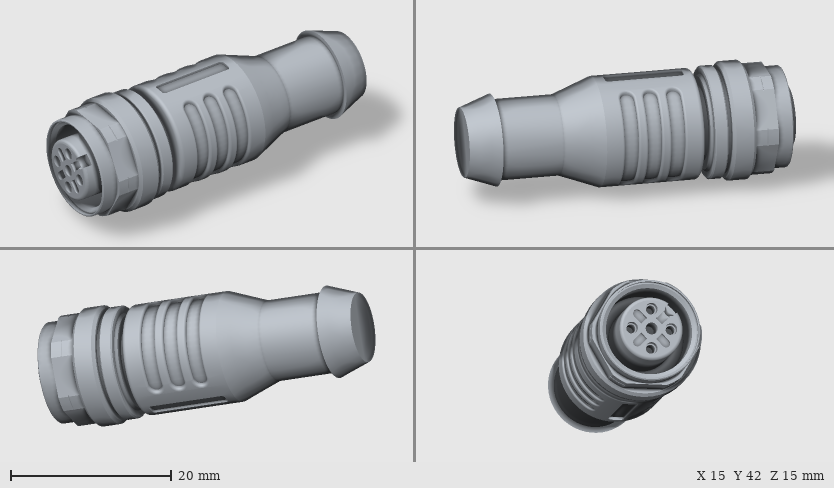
import cadquery as cq
import math

length = 42

tail_tip_dia = 8.8
barb_dia = 11.68
tube_dia = 10.2
barb_start = 38.0
tube_start = 30.05

grip_dia = 14.0
grip_start = 12.4
grip_end = 25.0
grip_round = 0.5

neck_dia = 9.4
neck_rim_dia = 9.6
neck_rim_start = 12.22
neck_start = 11.45
step_base_dia = 12.3
step_top_dia = 11.75
ring_dia = 14.25
ring_start = 9.4
ring_end = 11.1
ring_chamfer = 0.15
waist_dia = 13

flange_dia = 15.0
flange_start = 5.85
flange_end = 8.9
flange_chamfer = 0.38
hex_across_flats = 13
hex_corner_dia = 14.0
hex_start = 3.0
mark_y = 4.35
mark_dia = 13.85
mark_width = 0.13
sleeve_dia = 12.8
sleeve_start = 0.92
sleeve_chamfer = 0.13

bore_dia = 10.95
bore_floor = 7.55
mouth_dia = 12.3
mouth_depth = 0.5
lead_in_dia = 11.93
lead_in_depth = 0.35

insert_dia = 8.02
insert_round = 0.4
contact_hole_dia = 1.5
contact_dia = 1.15
contact_count = 4
contact_circle_dia = 5.0
contact_inset = 0.75
contact_depth = 2.5
slot_count = 4
slot_first_angle = 45
slot_width = 1.05
slot_inner = 1.35
slot_outer = 3.1
slot_depth = 0.4
key_width = 1.5
key_radius = 3.45
key_depth = 1.25
key_angle = 45

groove_count = 3
groove_first = 15.8
groove_pitch = 3.0
groove_width = 1.75
groove_floor_dia = 13
groove_inner_x = 3.1
groove_edge_round = 0.3
recess_width = 1.97
recess_length = 10.1
recess_middle = 18.75
recess_corner = 0.4
recess_floor_z = 6.6


def disc(dia, y_from, y_to):
    """Round disc on the plug axis between two heights along Y."""
    return cq.Workplane("XZ", origin=(0, y_from, 0)).circle(dia / 2).extrude(y_from - y_to)


def turned_body():
    """Half section of everything behind the nut's hexagon, turned about the axis."""
    profile = (
        cq.Workplane("ZY")
        .moveTo(0, flange_start)
        .lineTo(flange_dia / 2 - flange_chamfer, flange_start)
        .lineTo(flange_dia / 2, flange_start + flange_chamfer)
        .lineTo(flange_dia / 2, flange_end - flange_chamfer)
        .lineTo(flange_dia / 2 - flange_chamfer, flange_end)
        .lineTo(waist_dia / 2, flange_end)
        .lineTo(waist_dia / 2, ring_start)
        .lineTo(ring_dia / 2 - ring_chamfer, ring_start)
        .lineTo(ring_dia / 2, ring_start + ring_chamfer)
        .lineTo(ring_dia / 2, ring_end - ring_chamfer)
        .lineTo(ring_dia / 2 - ring_chamfer, ring_end)
        .lineTo(step_base_dia / 2, ring_end)
        .lineTo(step_top_dia / 2, neck_start)
        .lineTo(neck_dia / 2, neck_start)
        .lineTo(neck_dia / 2, neck_rim_start)
        .lineTo(neck_rim_dia / 2, neck_rim_start)
        .lineTo(neck_rim_dia / 2, grip_start)
        .lineTo(grip_dia / 2 - grip_round, grip_start)
        .radiusArc((grip_dia / 2, grip_start + grip_round), -grip_round)
        .lineTo(grip_dia / 2, grip_end)
        .lineTo(tube_dia / 2, tube_start)
        .lineTo(tube_dia / 2, barb_start)
        .lineTo(barb_dia / 2, barb_start)
        .lineTo(tail_tip_dia / 2, length)
        .lineTo(0, length)
        .close()
    )
    return profile.revolve(360, (0, 0, 0), (0, 1, 0))


def nut_front():
    """Hexagon with turned corners and a fine marking groove, and the sleeve in front of it."""
    hexagon = (
        cq.Workplane("XZ", origin=(0, hex_start, 0))
        .polygon(6, hex_across_flats / math.cos(math.pi / 6))
        .extrude(hex_start - flange_start)
    )
    hexagon = hexagon.intersect(disc(hex_corner_dia, hex_start, flange_start))
    mark_start = mark_y - mark_width / 2
    mark_end = mark_y + mark_width / 2
    mark = disc(flange_dia, mark_start, mark_end).cut(disc(mark_dia, mark_start, mark_end))
    sleeve = disc(sleeve_dia, sleeve_start, hex_start).faces("<Y").chamfer(sleeve_chamfer)
    return hexagon.cut(mark).union(sleeve)


def socket_cavity():
    """Annular space around the insert; its floor bulges forward as the seal ring."""
    seal_radius = (bore_dia - insert_dia) / 4
    seal_middle = (bore_dia + insert_dia) / 4
    mouth_end = sleeve_start + mouth_depth
    section = (
        cq.Workplane("XY")
        .moveTo(insert_dia / 2, 0)
        .lineTo(insert_dia / 2, bore_floor)
        .threePointArc((seal_middle, bore_floor - seal_radius), (bore_dia / 2, bore_floor))
        .lineTo(bore_dia / 2, mouth_end + lead_in_depth)
        .lineTo(lead_in_dia / 2, mouth_end)
        .lineTo(mouth_dia / 2, mouth_end)
        .lineTo(mouth_dia / 2, 0)
        .close()
    )
    return section.revolve(360, (0, 0, 0), (0, 1, 0))


def insert():
    """Round contact carrier standing in the socket, with a rounded front rim."""
    return disc(insert_dia, 0, flange_start).faces("<Y").edges().fillet(insert_round)


def contact_holes():
    """Five socket holes; the four outer ones hold contact tubes set back from the face."""
    front = cq.Workplane("XZ")
    holes = front.circle(contact_hole_dia / 2).extrude(-contact_depth)
    for i in range(contact_count):
        angle = 2 * math.pi * i / contact_count
        x = contact_circle_dia / 2 * math.cos(angle)
        z = contact_circle_dia / 2 * math.sin(angle)
        mouth = front.center(x, z).circle(contact_hole_dia / 2).extrude(-contact_inset)
        contact = front.center(x, z).circle(contact_dia / 2).extrude(-contact_depth)
        holes = holes.union(mouth).union(contact)
    return holes


def face_slots():
    """Four shallow diagonal slots, square at the inner end and round at the outer end."""
    outer_centre = slot_outer - slot_width / 2
    slot = (
        cq.Workplane("XZ")
        .moveTo(slot_inner, -slot_width / 2)
        .lineTo(outer_centre, -slot_width / 2)
        .threePointArc((slot_outer, 0), (outer_centre, slot_width / 2))
        .lineTo(slot_inner, slot_width / 2)
        .close()
        .extrude(-slot_depth)
    )
    slots = cq.Workplane("XZ")
    for i in range(slot_count):
        angle = slot_first_angle + 360 * i / slot_count
        slots = slots.union(slot.rotate((0, 0, 0), (0, 1, 0), angle))
    return slots


def keyway():
    """Round-bottomed coding notch in the rim of the insert, towards +X and +Z."""
    notch = (
        cq.Workplane("XZ")
        .moveTo(insert_dia, -key_width / 2)
        .lineTo(key_radius, -key_width / 2)
        .threePointArc((key_radius - key_width / 2, 0), (key_radius, key_width / 2))
        .lineTo(insert_dia, key_width / 2)
        .close()
        .extrude(-key_depth)
    )
    within_insert = disc(insert_dia, 0, key_depth)
    return notch.rotate((0, 0, 0), (0, 1, 0), -key_angle).intersect(within_insert)


def grip_grooves():
    """Finger grooves on both sides, with ends rounded in plan and a cylindrical floor."""
    half_width = groove_width / 2
    end_centre = groove_inner_x + half_width
    plan = cq.Workplane("XY", origin=(0, 0, -grip_dia))
    for side in (-1, 1):
        for i in range(groove_count):
            y = groove_first + i * groove_pitch
            plan = (
                plan.moveTo(side * grip_dia, y - half_width)
                .lineTo(side * end_centre, y - half_width)
                .threePointArc((side * groove_inner_x, y), (side * end_centre, y + half_width))
                .lineTo(side * grip_dia, y + half_width)
                .close()
            )
    return plan.extrude(2 * grip_dia).cut(disc(groove_floor_dia, grip_start, grip_end))


def is_groove_rim(edge):
    """True for the edges where a groove breaks through the cylindrical grip surface."""
    tolerance = 0.005
    points = [edge.positionAt(t) for t in (0, 0.5, 1)]
    on_surface = all(abs(math.hypot(p.x, p.z) - grip_dia / 2) < tolerance for p in points)
    off_middle = all(abs(p.x) > groove_inner_x / 2 for p in points)
    beside_grooves = all(grip_start + grip_round < p.y < grip_end for p in points)
    return on_surface and off_middle and beside_grooves


def flat_recesses():
    """Flat-floored rounded rectangles on the upper and lower sides of the grip."""
    pad = (
        cq.Workplane("XY", origin=(0, recess_middle, recess_floor_z))
        .rect(recess_width, recess_length)
        .extrude(grip_dia)
        .edges("|Z")
        .fillet(recess_corner)
    )
    return pad.union(pad.mirror("XY"))


body = turned_body().cut(grip_grooves())
body = body.edges().filter(is_groove_rim).fillet(groove_edge_round)
body = body.cut(flat_recesses())

result = (
    body.union(nut_front())
    .cut(socket_cavity())
    .union(insert())
    .cut(contact_holes())
    .cut(face_slots())
    .cut(keyway())
)